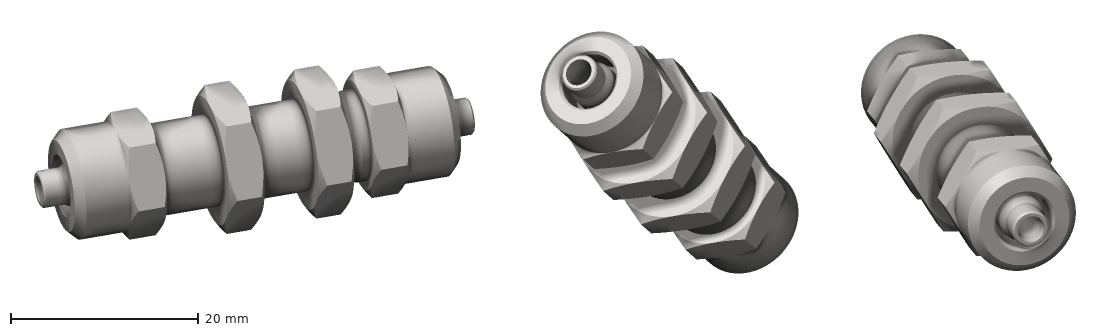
import cadquery as cq
import math

TOTAL_LENGTH = 48.0
STEM_PROJECTION = 2.5
CAP_LENGTH = 6.0
CAP_CHAMFER = 1.0
HEX_WIDTH = 4.0
UNDERCUT_SPAN = 2.5
COLLAR_LENGTH = 1.0
FLANGE_TO_NUT = 6.0

CAP_RADIUS = 6.0
THREAD_RADIUS = 5.0
UNDERCUT_RADIUS = 4.25
STEM_RADIUS = 2.0
STEM_TIP_CHAMFER = 0.2
STEM_BASE_RADIUS = 2.5
BORE_RADIUS = 1.5
SOCKET_MOUTH_RADIUS = 3.4
SOCKET_RADIUS = 3.1

SOCKET_MOUTH_DEPTH = 0.3
STEM_TAPER_DEPTH = 1.0
SOCKET_DEPTH = 4.0

CAP_HEX_FLATS = 12.0
FLANGE_HEX_FLATS = 14.0
HEX_CHAMFER_ANGLE = 30.0

END = TOTAL_LENGTH / 2
CAP_FACE = END - STEM_PROJECTION
CAP_HEX_OUTER = CAP_FACE - CAP_LENGTH
CAP_HEX_INNER = CAP_HEX_OUTER - HEX_WIDTH
FLANGE_REAR = CAP_HEX_INNER - UNDERCUT_SPAN
FLANGE_FRONT = FLANGE_REAR - HEX_WIDTH
NUT_REAR = FLANGE_FRONT - FLANGE_TO_NUT
NUT_FRONT = NUT_REAR - HEX_WIDTH


def revolve_about_y(profile):
    """Turn a closed (radius, y) profile about the Y axis."""
    return profile.close().revolve(360, (0, 0, 0), (0, 1, 0))


def cylinder(radius, y_start, y_end):
    """Round bar along Y between two stations."""
    bar = cq.Workplane("XZ", origin=(0, y_end, 0)).circle(radius)
    return bar.extrude(y_end - y_start)


def chamfered_hexagon(flats, y_start):
    """Hexagon with corners on the X axis and conical chamfers at both ends."""
    y_end = y_start + HEX_WIDTH
    corner_radius = flats / math.sqrt(3)
    face_radius = flats / 2
    chamfer_height = (corner_radius - face_radius) * math.tan(math.radians(HEX_CHAMFER_ANGLE))
    prism = cq.Workplane("XZ", origin=(0, y_end, 0)).polygon(6, 2 * corner_radius).extrude(HEX_WIDTH)
    envelope = revolve_about_y(
        cq.Workplane("XY")
        .moveTo(0, y_start)
        .lineTo(face_radius, y_start)
        .lineTo(corner_radius, y_start + chamfer_height)
        .lineTo(corner_radius, y_end - chamfer_height)
        .lineTo(face_radius, y_end)
        .lineTo(0, y_end)
    )
    return prism.intersect(envelope)


def rear_end_cap():
    """Solid blank of the +Y cap: chamfered barrel with its hexagon."""
    barrel = cylinder(CAP_RADIUS, CAP_HEX_INNER, CAP_FACE).faces(">Y").chamfer(CAP_CHAMFER)
    return barrel.union(chamfered_hexagon(CAP_HEX_FLATS, CAP_HEX_INNER))


def rear_socket():
    """Annular space around the +Y stem, which widens to its root inside the cap."""
    socket_floor = CAP_FACE - SOCKET_DEPTH
    return revolve_about_y(
        cq.Workplane("XY")
        .moveTo(STEM_BASE_RADIUS, socket_floor)
        .lineTo(SOCKET_RADIUS, socket_floor)
        .lineTo(SOCKET_RADIUS, CAP_FACE - SOCKET_MOUTH_DEPTH)
        .lineTo(SOCKET_MOUTH_RADIUS, CAP_FACE)
        .lineTo(STEM_RADIUS, CAP_FACE)
        .lineTo(STEM_BASE_RADIUS, CAP_FACE - STEM_TAPER_DEPTH)
    )


def rear_stem():
    """Part of the stem that stands out of the +Y cap."""
    return cylinder(STEM_RADIUS, CAP_FACE, END).faces(">Y").chamfer(STEM_TIP_CHAMFER)


def rear_end():
    """Complete +Y end: cap, socket and stem."""
    return rear_end_cap().cut(rear_socket()).union(rear_stem())


def undercut():
    """Ring removed between the collar and the fixed flange."""
    collar_end = CAP_HEX_INNER - COLLAR_LENGTH
    cone_end = collar_end - (THREAD_RADIUS - UNDERCUT_RADIUS)
    return revolve_about_y(
        cq.Workplane("XY")
        .moveTo(THREAD_RADIUS, collar_end)
        .lineTo(UNDERCUT_RADIUS, cone_end)
        .lineTo(UNDERCUT_RADIUS, FLANGE_REAR)
        .lineTo(THREAD_RADIUS, FLANGE_REAR)
    )


def make_fitting():
    """Bulkhead fitting: shank, fixed flange and a capped hose stem at each end."""
    shank = cylinder(THREAD_RADIUS, -CAP_HEX_INNER, CAP_HEX_INNER).cut(undercut())
    flange = chamfered_hexagon(FLANGE_HEX_FLATS, FLANGE_FRONT)
    rear = rear_end()
    front = rear.mirror("XZ")
    bore = cylinder(BORE_RADIUS, -END, END)
    return shank.union(flange).union(rear).union(front).cut(bore)


def make_bulkhead_nut():
    """Loose nut seated on the shank."""
    hole = cylinder(THREAD_RADIUS, NUT_FRONT, NUT_REAR)
    return chamfered_hexagon(FLANGE_HEX_FLATS, NUT_FRONT).cut(hole)


fitting = make_fitting()
bulkhead_nut = make_bulkhead_nut()

result = cq.Compound.makeCompound([fitting.solids().val(), bulkhead_nut.solids().val()])